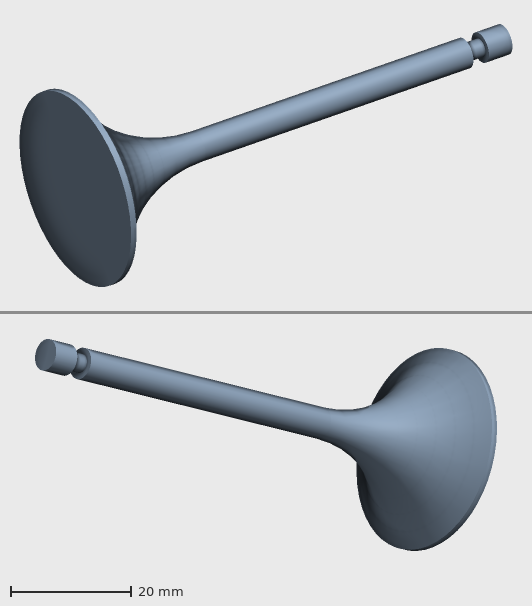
import cadquery as cq

total_length = 84.8
head_diameter = 34.2
rim_thickness = 1.1
neck_end = 24.1
stem_diameter = 5.35
groove_diameter = 3.2
groove_width = 3.05
tip_length = 4.7

head_radius = head_diameter / 2
stem_radius = stem_diameter / 2
groove_radius = groove_diameter / 2

flare_height = head_radius - stem_radius
flare_length = neck_end - rim_thickness
flare_radius = (flare_length**2 + flare_height**2) / (2 * flare_height)
flare_mid_length = flare_length / 2
flare_mid_height = flare_radius - (flare_radius**2 - flare_mid_length**2) ** 0.5
flare_mid = (neck_end - flare_mid_length, stem_radius + flare_mid_height)

groove_end = total_length - tip_length
groove_start = groove_end - groove_width

half_section = (
    cq.Workplane("YZ")
    .moveTo(0, 0)
    .lineTo(0, head_radius)
    .lineTo(rim_thickness, head_radius)
    .threePointArc(flare_mid, (neck_end, stem_radius))
    .lineTo(groove_start, stem_radius)
    .lineTo(groove_start, groove_radius)
    .lineTo(groove_end, groove_radius)
    .lineTo(groove_end, stem_radius)
    .lineTo(total_length, stem_radius)
    .lineTo(total_length, 0)
    .close()
)

result = half_section.revolve(360, (0, 0, 0), (1, 0, 0))